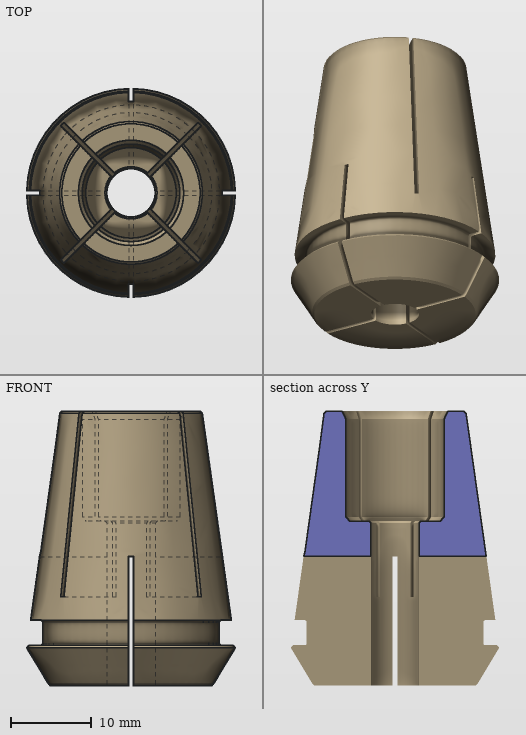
import cadquery as cq

total_height = 34.0
flange_radius = 12.92
cone_base_radius = 12.45
cone_top_radius = 8.85
groove_radius = 10.95
bottom_radius = 10.27

flange_edge_height = 4.7
flange_top_height = 5.0
cone_base_height = 8.1

edge_break = 0.27
flange_edge_break = 0.3
groove_fillet = 0.25

bore_radius = 6.0 / 2
counterbore_radius = 6.05
counterbore_floor_height = 20.4
floor_radius = 5.6
floor_taper_height = 0.5
mouth_radius = 6.53
mouth_depth = 1.0
bore_edge_break = 0.25

slit_width = 0.58
lower_slit_top = 15.98
upper_slit_bottom = 10.98
slits_per_set = 4
slit_angle_step = 360 / slits_per_set
slit_overrun = 0.68
slit_reach = flange_radius + slit_overrun


def revolve_profile(profile):
    """Turn a closed radius/height outline around the Z axis."""
    return profile.close().revolve(360, (0, 0, 0), (0, 1, 0))


def outer_body():
    """Tapered body, locking groove and flange as one turned solid."""
    profile = (
        cq.Workplane("XZ")
        .lineTo(bottom_radius - edge_break, 0)
        .lineTo(bottom_radius, edge_break)
        .lineTo(flange_radius, flange_edge_height)
        .lineTo(flange_radius - flange_edge_break, flange_top_height)
        .lineTo(groove_radius + groove_fillet, flange_top_height)
        .radiusArc((groove_radius, flange_top_height + groove_fillet), groove_fillet)
        .lineTo(groove_radius, cone_base_height - groove_fillet)
        .radiusArc((groove_radius + groove_fillet, cone_base_height), groove_fillet)
        .lineTo(cone_base_radius, cone_base_height)
        .lineTo(cone_top_radius, total_height - edge_break)
        .lineTo(cone_top_radius - edge_break, total_height)
        .lineTo(0, total_height)
    )
    return revolve_profile(profile)


def stepped_bore():
    """Through bore, wider above the step and flared at the mouth."""
    profile = (
        cq.Workplane("XZ")
        .lineTo(bore_radius, 0)
        .lineTo(bore_radius, counterbore_floor_height - bore_edge_break)
        .lineTo(bore_radius + bore_edge_break, counterbore_floor_height)
        .lineTo(floor_radius, counterbore_floor_height)
        .lineTo(counterbore_radius, counterbore_floor_height + floor_taper_height)
        .lineTo(counterbore_radius, total_height - mouth_depth)
        .lineTo(mouth_radius, total_height)
        .lineTo(0, total_height)
    )
    return revolve_profile(profile)


def slit_set(start_angle, bottom, top):
    """Radial slits from the axis outwards, spread evenly around it."""
    slits = cq.Workplane("XY")
    for index in range(slits_per_set):
        slit = cq.Workplane("XY").box(
            slit_reach, slit_width, top - bottom, centered=(False, True, False)
        )
        angle = start_angle + index * slit_angle_step
        slits = slits.add(slit.translate((0, 0, bottom)).rotate((0, 0, 0), (0, 0, 1), angle))
    return slits.combine()


lower_slits = slit_set(0, 0, lower_slit_top)
upper_slits = slit_set(slit_angle_step / 2, upper_slit_bottom, total_height)

result = outer_body().cut(stepped_bore()).cut(lower_slits).cut(upper_slits)